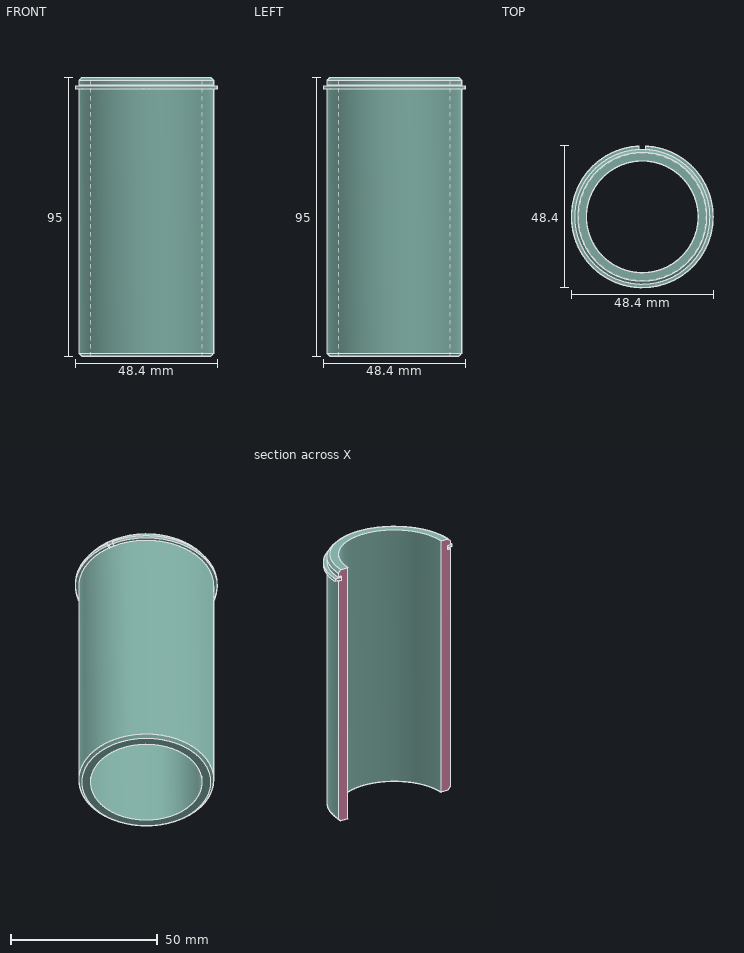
import cadquery as cq

LENGTH = 95.0
SLEEVE_DIAMETER = 46.0
BORE_DIAMETER = 38.0
END_CHAMFER = 1.0

RING_DIAMETER = 48.4
RING_THICKNESS = 1.0
RING_GAP = 2.1
GROOVE_DEPTH = 1.2
GROOVE_WIDTH = 1.3
GROOVE_BOTTOM_FROM_TOP = 4.0

groove_diameter = SLEEVE_DIAMETER - 2 * GROOVE_DEPTH
groove_bottom = LENGTH - GROOVE_BOTTOM_FROM_TOP


def annulus(outer_diameter, inner_diameter, height, base):
    """Flat-ended tube on the Z axis, standing on the height `base`."""
    return (
        cq.Workplane("XY", origin=(0, 0, base))
        .circle(outer_diameter / 2)
        .circle(inner_diameter / 2)
        .extrude(height)
    )


def make_sleeve():
    """Plain bored tube, chamfered outside at both ends, with a ring groove near the top."""
    body = cq.Workplane("XY").circle(SLEEVE_DIAMETER / 2).extrude(LENGTH)
    body = body.faces("<Z or >Z").edges().chamfer(END_CHAMFER)
    bore = cq.Workplane("XY").circle(BORE_DIAMETER / 2).extrude(LENGTH)
    groove = annulus(RING_DIAMETER, groove_diameter, GROOVE_WIDTH, groove_bottom)
    return body.cut(bore).cut(groove)


def make_retaining_ring():
    """Split ring resting on the lower groove wall, with its gap on the +Y side."""
    ring = annulus(RING_DIAMETER, groove_diameter, RING_THICKNESS, groove_bottom)
    gap = cq.Workplane("XY", origin=(0, 0, groove_bottom)).box(
        RING_GAP, RING_DIAMETER, RING_THICKNESS, centered=(True, False, False)
    )
    return ring.cut(gap)


sleeve = make_sleeve()
retaining_ring = make_retaining_ring()

result = cq.Compound.makeCompound([sleeve.val(), retaining_ring.val()])